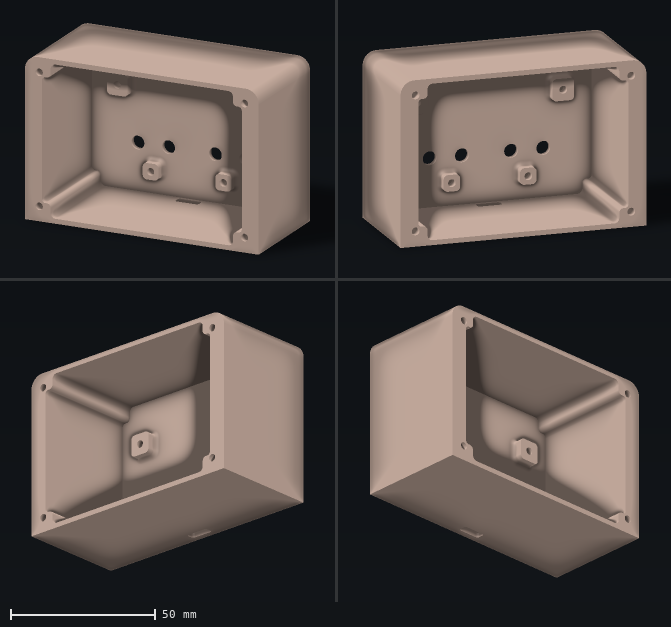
import cadquery as cq

WIDTH = 90.0
DEPTH = 42.0
HEIGHT = 60.0
TOP_CORNER_RADIUS = 5.0

PLATE_THICKNESS = 2.0
PLATE_EDGE_FILLET = 1.2
HOUSING_DEPTH = DEPTH - PLATE_THICKNESS

CAVITY_WIDTH = 77.0
FLOOR_THICKNESS = 1.8
CAVITY_HEIGHT = HEIGHT - 2 * FLOOR_THICKNESS
CORNER_BOSS_WIDTH = 3.4
CORNER_BOSS_HEIGHT = 5.2
CAVITY_CORNER_RADIUS = 1.8
BOSS_EDGE_RADIUS = 1.5
CAVITY_SIDE_RADIUS = 1.3

SCREW_HOLE_DIAMETER = 2.8
SCREW_HOLE_INSET = 5.5

SLOT_LENGTH = 9.0
SLOT_WIDTH = 3.3
SLOT_CORNER_RADIUS = 1.0
SLOT_BACK_GAP = 1.2

STANDOFF_HEIGHT = 4.0
STANDOFF_EDGE_RADIUS = 1.5
STANDOFF_BASE_FILLET = 1.5
STANDOFF_HOLE_DIAMETER = 2.8
UPPER_STANDOFF_SIZE = 8.0
UPPER_STANDOFF_SPACING = 53.6
UPPER_STANDOFF_Z = 41.0
LOWER_STANDOFF_SIZE = 6.0
LOWER_STANDOFF_SPACING = 28.0
LOWER_STANDOFF_Z = 11.0

OPENING_DIAMETER = 5.0
OPENING_Z = 19.5
OPENING_PAIR_SPACING = 29.8
OPENING_PITCH = 11.8

SIDES = (-1, 1)

EDGE_PICK_MARGIN = 0.1


def section_plane(y):
    """Plane at depth y with local axes X and Z; positive extrusion goes toward the front (-Y)."""
    return cq.Workplane("XZ", origin=(0, y, 0))


def outer_block(y_front, y_back):
    """Block with the enclosure outline: square lower corners, rounded upper corners."""
    return (
        section_plane(y_back)
        .rect(WIDTH, HEIGHT)
        .extrude(y_back - y_front)
        .translate((0, 0, HEIGHT / 2))
        .edges("|Y and >Z")
        .fillet(TOP_CORNER_RADIUS)
    )


def cavity():
    """Through cavity with a step at each corner that leaves room for a screw boss."""
    tall_width = CAVITY_WIDTH - 2 * CORNER_BOSS_WIDTH
    side_height = CAVITY_HEIGHT - 2 * CORNER_BOSS_HEIGHT
    middle = section_plane(HOUSING_DEPTH).center(0, HEIGHT / 2)
    tall = middle.rect(tall_width, CAVITY_HEIGHT).extrude(HOUSING_DEPTH)
    tall = tall.edges("|Y").fillet(CAVITY_CORNER_RADIUS)
    wide = middle.rect(CAVITY_WIDTH, side_height).extrude(HOUSING_DEPTH)
    wide = wide.edges("|Y").fillet(CAVITY_SIDE_RADIUS)
    reach_x = CAVITY_WIDTH / 2 - CORNER_BOSS_WIDTH / 2
    reach_z = CAVITY_HEIGHT / 2 - CORNER_BOSS_HEIGHT / 2
    boss_edges = cq.selectors.BoxSelector(
        (-reach_x, 0, HEIGHT / 2 - reach_z),
        (reach_x, HOUSING_DEPTH, HEIGHT / 2 + reach_z),
    )
    return tall.union(wide).edges("|Y").edges(boss_edges).fillet(BOSS_EDGE_RADIUS)


def screw_holes():
    """Four holes running the length of the corner bosses."""
    return (
        section_plane(HOUSING_DEPTH)
        .center(0, HEIGHT / 2)
        .rect(WIDTH - 2 * SCREW_HOLE_INSET, HEIGHT - 2 * SCREW_HOLE_INSET, forConstruction=True)
        .vertices()
        .circle(SCREW_HOLE_DIAMETER / 2)
        .extrude(HOUSING_DEPTH)
    )


def floor_slot():
    """Rounded rectangular slot through the floor."""
    slot_y = HOUSING_DEPTH - SLOT_BACK_GAP - SLOT_WIDTH / 2
    return (
        cq.Workplane("XY", origin=(0, slot_y, 0))
        .rect(SLOT_LENGTH, SLOT_WIDTH)
        .extrude(FLOOR_THICKNESS)
        .edges("|Z")
        .fillet(SLOT_CORNER_RADIUS)
    )


def make_housing():
    block = outer_block(0, HOUSING_DEPTH)
    return block.cut(cavity()).cut(screw_holes()).cut(floor_slot())


def add_standoff(plate, x, z, size):
    """Add one square standoff with a blind hole and a filleted base to the plate."""
    post = (
        section_plane(HOUSING_DEPTH)
        .center(x, z)
        .rect(size, size)
        .extrude(STANDOFF_HEIGHT)
        .edges("|Y")
        .fillet(STANDOFF_EDGE_RADIUS)
    )
    reach = size / 2 + EDGE_PICK_MARGIN
    base_edges = cq.selectors.BoxSelector(
        (x - reach, HOUSING_DEPTH - EDGE_PICK_MARGIN, z - reach),
        (x + reach, HOUSING_DEPTH + EDGE_PICK_MARGIN, z + reach),
    )
    hole = (
        section_plane(HOUSING_DEPTH)
        .center(x, z)
        .circle(STANDOFF_HOLE_DIAMETER / 2)
        .extrude(STANDOFF_HEIGHT)
    )
    return plate.union(post).edges(base_edges).fillet(STANDOFF_BASE_FILLET).cut(hole)


def plate_openings():
    """Two pairs of round openings, one pair on each side of the centre."""
    centres = [
        (pair * OPENING_PAIR_SPACING / 2 + side * OPENING_PITCH / 2, OPENING_Z)
        for pair in SIDES
        for side in SIDES
    ]
    return section_plane(DEPTH).pushPoints(centres).circle(OPENING_DIAMETER / 2).extrude(PLATE_THICKNESS)


def make_back_plate():
    plate = outer_block(HOUSING_DEPTH, DEPTH).faces(">Y").edges().fillet(PLATE_EDGE_FILLET)
    for side in SIDES:
        plate = add_standoff(plate, side * UPPER_STANDOFF_SPACING / 2, UPPER_STANDOFF_Z, UPPER_STANDOFF_SIZE)
        plate = add_standoff(plate, side * LOWER_STANDOFF_SPACING / 2, LOWER_STANDOFF_Z, LOWER_STANDOFF_SIZE)
    return plate.cut(plate_openings())


housing = make_housing()
back_plate = make_back_plate()

result = cq.Compound.makeCompound([housing.val(), back_plate.val()])